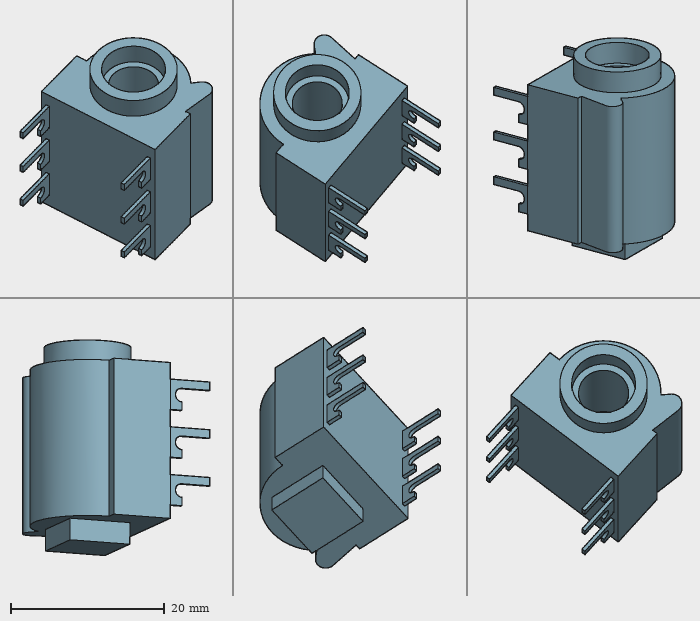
import cadquery as cq
import math

overall_height = 26.53

body_width = 18.2
body_height = 20.72
base_depth = 7.95
barrel_radius = 7.5

ear_radius = 1.33
ear_center_x = body_width / 2 - ear_radius
ear_center_y = 4.55
ear_root_x = 8.33
ear_inner_slope = 45.0

collar_radius = 5.7
collar_height = 2.95
plug_width = 8.65
plug_depth = 8.38
plug_height = overall_height - body_height - collar_height

socket_radius = 4.17
socket_depth = 2.95
bore_radius = 3.25
bore_depth = 15.92
cone_point_angle = 120.0
cone_depth = bore_radius / math.tan(math.radians(cone_point_angle / 2))

pin_thickness = 0.5
pin_spacing_x = 16.18
pin_length = 5.9
pin_foot_length = 1.95
pin_height = 4.03
pin_arm_height = 1.11
pin_notch_radius = (pin_height - 2 * pin_arm_height) / 2
pin_pitch = 6.35
pins_per_side = 3
top_pin_drop = 2.05


def make_base():
    base = cq.Workplane("XY").box(body_width, base_depth, body_height, centered=(True, False, False))
    return base.translate((0, -base_depth, 0))


def make_barrel():
    return cq.Workplane("XY").circle(barrel_radius).extrude(body_height)


def make_ear():
    def rim_point(angle):
        return (
            ear_center_x + ear_radius * math.cos(angle),
            ear_center_y + ear_radius * math.sin(angle),
        )

    root_dx = ear_root_x - ear_center_x
    root_distance = math.hypot(root_dx, ear_center_y)
    outer_angle = math.atan2(-ear_center_y, root_dx) + math.acos(ear_radius / root_distance)
    inner_angle = math.radians(90 + ear_inner_slope)
    inner_tangent = rim_point(inner_angle)
    flank_drop = inner_tangent[1]
    inner_root_x = inner_tangent[0] - flank_drop / math.tan(math.radians(ear_inner_slope))
    return (
        cq.Workplane("XY")
        .moveTo(inner_root_x, 0)
        .lineTo(ear_root_x, 0)
        .lineTo(*rim_point(outer_angle))
        .threePointArc(rim_point((outer_angle + inner_angle) / 2), inner_tangent)
        .close()
        .extrude(body_height)
    )


def make_collar():
    return cq.Workplane("XY").workplane(offset=body_height).circle(collar_radius).extrude(collar_height)


def make_plug():
    return cq.Workplane("XY").rect(plug_width, plug_depth).extrude(-plug_height)


def make_socket():
    top = body_height + collar_height
    bore_floor = top - bore_depth
    return (
        cq.Workplane("XZ")
        .moveTo(0, top)
        .lineTo(socket_radius, top)
        .lineTo(socket_radius, top - socket_depth)
        .lineTo(bore_radius, top - socket_depth)
        .lineTo(bore_radius, bore_floor)
        .lineTo(0, bore_floor - cone_depth)
        .close()
        .revolve(360, (0, 0, 0), (0, 1, 0))
    )


def make_pin(center_x, top_z):
    """Flat terminal with a long arm above a short foot, joined by a round notch."""
    face_y = -base_depth
    foot_y = face_y - pin_foot_length
    tip_y = face_y - pin_length
    arm_z = top_z - pin_arm_height
    return (
        cq.Workplane("YZ")
        .workplane(offset=center_x - pin_thickness / 2)
        .moveTo(face_y, top_z)
        .lineTo(tip_y, top_z)
        .lineTo(tip_y, arm_z)
        .lineTo(foot_y, arm_z)
        .threePointArc(
            (foot_y + pin_notch_radius, arm_z - pin_notch_radius),
            (foot_y, arm_z - 2 * pin_notch_radius),
        )
        .lineTo(foot_y, top_z - pin_height)
        .lineTo(face_y, top_z - pin_height)
        .close()
        .extrude(pin_thickness)
    )


result = make_base().union(make_barrel()).union(make_ear())
result = result.union(make_collar()).union(make_plug()).cut(make_socket())
for side in (-1, 1):
    for row in range(pins_per_side):
        pin_top = body_height - top_pin_drop - row * pin_pitch
        result = result.union(make_pin(side * pin_spacing_x / 2, pin_top))